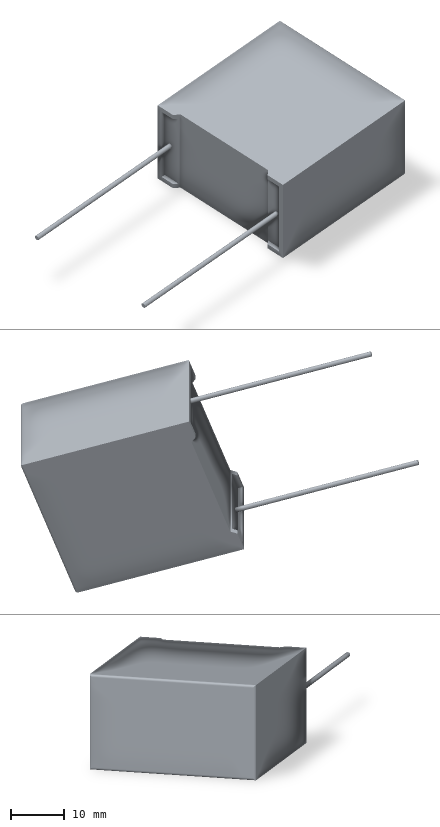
import cadquery as cq

case_width = 32.3
case_height = 18.2
total_length = 68.1
lead_length = 35.0
case_depth = total_length - lead_length
back_fillet = 0.5

relief_depth = 1.1
foot_width = 3.95
foot_slope = 0.9

wall = 1.0
resin_recess = 0.8
resin_depth = 2.05
window_width = foot_width + foot_slope * resin_recess / relief_depth - wall

lead_diameter = 0.95
lead_spacing = 27.45
lead_embedment = 1.0

cavity_width = case_width - 2 * wall
cavity_height = case_height - 2 * wall
window_spacing = cavity_width - window_width
resin_back = resin_recess + resin_depth
bridge_thickness = 0.7
resin_step = relief_depth + bridge_thickness


def block(width, height, y_front, y_back, x_center=0):
    """Box centred on Z = 0 that spans y_front to y_back."""
    return (
        cq.Workplane("XY")
        .box(width, y_back - y_front, height, centered=(True, False, True))
        .translate((x_center, y_front, 0))
    )


def make_resin_envelope(y_front):
    """Slab across the cavity with one pad reaching forward into each window."""
    envelope = block(cavity_width, cavity_height, resin_step, resin_back)
    for side in (-1, 1):
        pad_x = side * window_spacing / 2
        envelope = envelope.union(block(window_width, cavity_height, y_front, resin_back, pad_x))
    return envelope


def make_relief():
    """Sloped channel through the full height of the mounting face."""
    half_opening = case_width / 2 - foot_width
    half_floor = half_opening - foot_slope
    return (
        cq.Workplane("XY")
        .polyline(
            [
                (-half_opening, 0),
                (half_opening, 0),
                (half_floor, relief_depth),
                (-half_floor, relief_depth),
            ]
        )
        .close()
        .extrude(case_height / 2, both=True)
    )


def make_case():
    case = block(case_width, case_height, 0, case_depth).faces(">Y").edges().fillet(back_fillet)
    return case.cut(make_relief()).cut(make_resin_envelope(0))


def make_lead(x_position):
    length = lead_length + resin_recess + lead_embedment
    return (
        cq.Workplane("XZ", origin=(x_position, -lead_length, 0))
        .circle(lead_diameter / 2)
        .extrude(-length)
    )


case = make_case()
leads = [make_lead(side * lead_spacing / 2) for side in (-1, 1)]

resin = make_resin_envelope(resin_recess)
for lead in leads:
    resin = resin.cut(lead)

result = cq.Compound.makeCompound([case.val(), resin.val(), *[lead.val() for lead in leads]])